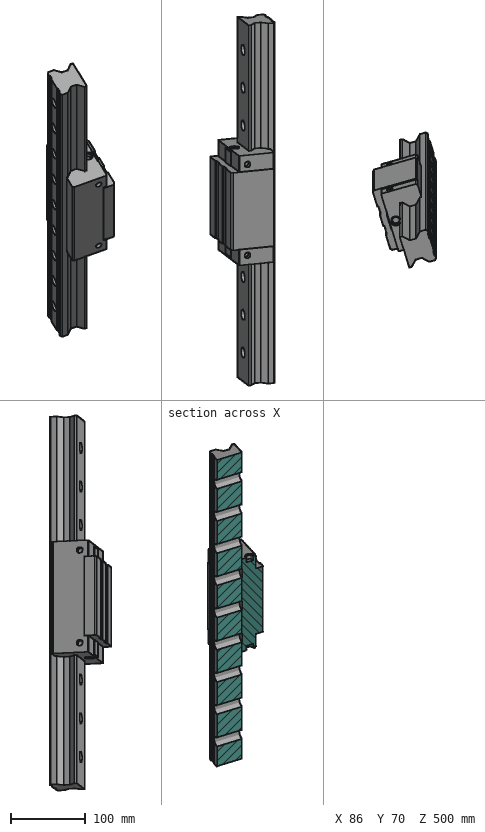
import cadquery as cq


rail_length = 500.0
rail_height = 38.0
rail_half_width = 22.0
waist_half_width = 14.0
waist_low = 18.0
waist_high = 26.5
flank_run = rail_half_width - waist_half_width
base_chamfer = 2.0
base_groove_inner = 8.5
base_groove_outer = 16.0
base_groove_depth = 1.0
bolt_hole_diameter = 14.0
bolt_pitch = 52.5
bolt_count = 9

carriage_bottom = 8.0
carriage_top = 70.0
block_half_width = 43.0
block_length = 107.5
block_chamfer = 2.5
bottom_chamfer = 2.0
side_relief_depth = 1.5
side_relief_top = 53.0
top_groove_inner = 8.0
top_groove_outer = 20.0
top_groove_depth = 1.5
carriage_length = 152.0
cap_half_width = block_half_width - side_relief_depth
cap_top = 58.5
cap_chamfer = 1.0
pad_width = 21.0
pad_height = 1.0
pad_setback = 2.5
end_port_diameter = 10.0
end_port_chamfer = 1.5
end_port_y = 50.0
end_port_depth = 7.5
side_port_diameter = 8.0
side_port_y = 46.5
side_port_z = 63.0
side_port_depth = 7.5


def box_between(x_range, y_range, length):
    """Box spanning the X and Y ranges, centred on Z = 0."""
    width = x_range[1] - x_range[0]
    depth = y_range[1] - y_range[0]
    box = cq.Workplane("XY").box(width, depth, length)
    return box.translate((sum(x_range) / 2, sum(y_range) / 2, 0))


def extrude_centred(points, length):
    """Close an XY outline and extrude it, centred on Z = 0."""
    return cq.Workplane("XY").polyline(points).close().extrude(length / 2, both=True)


def extrude_mirrored(right_side, length):
    """Mirror a half outline across X = 0 and extrude it, centred on Z = 0."""
    left_side = [(-x, y) for x, y in reversed(right_side)]
    return extrude_centred(right_side + left_side, length)


def rail_blank():
    """Rail profile without grooves or holes, which also shapes the carriage channel."""
    return extrude_mirrored(
        [
            (rail_half_width - base_chamfer, 0),
            (rail_half_width, base_chamfer),
            (rail_half_width, waist_low - flank_run),
            (waist_half_width, waist_low),
            (waist_half_width, waist_high),
            (rail_half_width, waist_high + flank_run),
            (rail_half_width, rail_height),
        ],
        rail_length,
    )


def base_groove():
    """Groove in the base with 45-degree sides, on the +X side."""
    return extrude_centred(
        [
            (base_groove_inner, 0),
            (base_groove_inner + base_groove_depth, base_groove_depth),
            (base_groove_outer - base_groove_depth, base_groove_depth),
            (base_groove_outer, 0),
        ],
        rail_length,
    )


def make_rail():
    rail = rail_blank()
    groove = base_groove()
    rail = rail.cut(groove).cut(groove.mirror("YZ"))
    bolt_holes = (
        cq.Workplane("XZ")
        .rarray(5, bolt_pitch, 1, bolt_count)
        .circle(bolt_hole_diameter / 2)
        .extrude(-rail_height)
    )
    return rail.cut(bolt_holes)


def side_relief():
    """Strip removed from the +X side, which keeps the bottom chamfer on the new face."""
    return extrude_centred(
        [
            (block_half_width, carriage_bottom),
            (cap_half_width - bottom_chamfer, carriage_bottom),
            (cap_half_width, carriage_bottom + bottom_chamfer),
            (cap_half_width, side_relief_top),
            (block_half_width, side_relief_top),
        ],
        block_length,
    )


def carriage_block():
    """Middle block with its mounting face, grooves and one relieved side."""
    block = extrude_mirrored(
        [
            (block_half_width - bottom_chamfer, carriage_bottom),
            (block_half_width, carriage_bottom + bottom_chamfer),
            (block_half_width, carriage_top - block_chamfer),
            (block_half_width - block_chamfer, carriage_top),
        ],
        block_length,
    )
    top_groove = box_between(
        (top_groove_inner, top_groove_outer),
        (carriage_top - top_groove_depth, carriage_top),
        block_length,
    )
    return block.cut(top_groove).cut(top_groove.mirror("YZ")).cut(side_relief())


def end_caps():
    """Bar whose two ends stand out of the block as its end caps, with a pad on top."""
    caps = extrude_mirrored(
        [
            (cap_half_width - bottom_chamfer, carriage_bottom),
            (cap_half_width, carriage_bottom + bottom_chamfer),
            (cap_half_width, cap_top - cap_chamfer),
            (cap_half_width - cap_chamfer, cap_top),
        ],
        carriage_length,
    )
    pad = box_between(
        (-pad_width / 2, pad_width / 2),
        (cap_top, cap_top + pad_height),
        carriage_length - 2 * pad_setback,
    )
    return caps.union(pad)


def cap_ports(side):
    """End port and two side ports of the cap on one side (+1 or -1) along Z."""
    ports = (
        cq.Workplane("XY", origin=(0, end_port_y, side * carriage_length / 2))
        .circle(end_port_diameter / 2)
        .extrude(-side * end_port_depth)
    )
    mouth = cq.Solid.makeCone(
        end_port_diameter / 2 + end_port_chamfer,
        end_port_diameter / 2,
        end_port_chamfer,
        pnt=cq.Vector(0, end_port_y, side * carriage_length / 2),
        dir=cq.Vector(0, 0, -side),
    )
    ports = ports.add(mouth)
    for x_side in (-1, 1):
        side_port = (
            cq.Workplane("YZ", origin=(x_side * cap_half_width, side_port_y, side * side_port_z))
            .circle(side_port_diameter / 2)
            .extrude(-x_side * side_port_depth)
        )
        ports = ports.add(side_port)
    return ports.combine()


def make_carriage():
    carriage = carriage_block().union(end_caps())
    for side in (-1, 1):
        carriage = carriage.cut(cap_ports(side))
    return carriage.cut(rail_blank())


rail = make_rail()
carriage = make_carriage()

result = cq.Compound.makeCompound([rail.val(), carriage.val()])